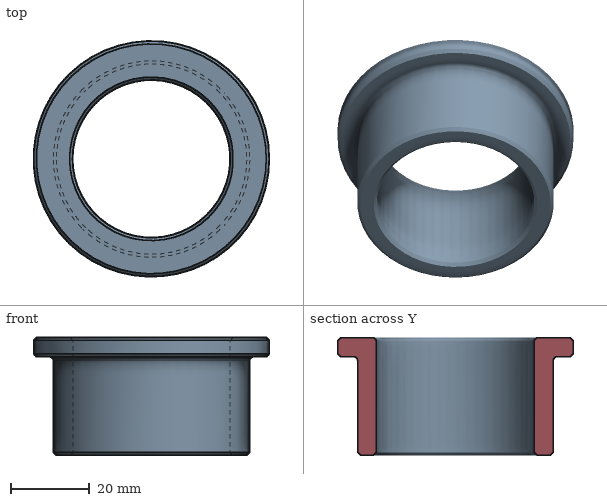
import cadquery as cq

flange_diameter = 60.0
sleeve_diameter = 50.0
bore_diameter = 40.0
total_height = 30.0
flange_thickness = 5.0
edge_chamfer = 0.8
neck_fillet = 0.9

sleeve_height = total_height - flange_thickness


def make_sleeve():
    """Sleeve standing on Z = 0, chamfered at its lower outer edge."""
    sleeve = cq.Workplane("XY").circle(sleeve_diameter / 2).extrude(sleeve_height)
    return sleeve.faces("<Z").edges().chamfer(edge_chamfer)


def make_flange():
    """Flange on top of the sleeve, chamfered at both rims."""
    flange = (
        cq.Workplane("XY", origin=(0, 0, sleeve_height))
        .circle(flange_diameter / 2)
        .extrude(flange_thickness)
    )
    return flange.edges().chamfer(edge_chamfer)


def round_neck(body):
    """Fillet the inside corner where the sleeve meets the flange."""
    neck_edge = cq.selectors.RadiusNthSelector(0)
    return body.faces("%CYLINDER").edges(neck_edge).edges(">Z").fillet(neck_fillet)


def cut_bore(body):
    """Through bore, chamfered where it opens at both ends."""
    bored = body.faces(">Z").workplane().hole(bore_diameter)
    rim_selector = cq.selectors.RadiusNthSelector(0)
    return bored.faces("<Z or >Z").edges(rim_selector).chamfer(edge_chamfer)


result = cut_bore(round_neck(make_sleeve().union(make_flange())))